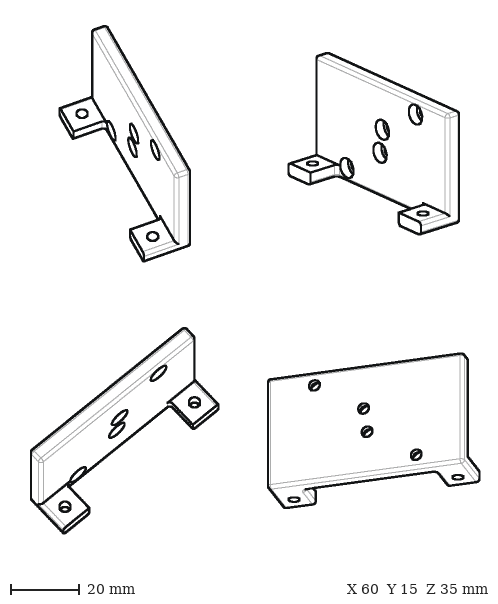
import cadquery as cq

width = 60.0
depth = 15.0
height = 35.0

plate_thickness = 5.0
foot_width = 10.0
foot_thickness = 4.0
edge_radius = 1.0

plate_front = -plate_thickness
foot_end = -depth
foot_inner_x = width / 2 - foot_width

hole_diameter = 3.25
counterbore_diameter = 6.0
counterbore_depth = 3.0
foot_hole_inset = 5.0
foot_hole_x = width / 2 - foot_hole_inset
foot_hole_y = foot_end + foot_hole_inset

outer_hole_offset = (15.55, 13.25)
inner_hole_offset = (0.55, 3.8)


def make_block(x_min, x_max, y_min, y_max, z_max):
    """Box standing on the base plane."""
    size = (x_max - x_min, y_max - y_min, z_max)
    return cq.Workplane("XY").box(*size, centered=False).translate((x_min, y_min, 0))


def make_body():
    """Upright plate with a forward-pointing foot at each end."""
    body = make_block(-width / 2, width / 2, plate_front, 0, height)
    body = body.union(make_block(-width / 2, -foot_inner_x, foot_end, 0, foot_thickness))
    return body.union(make_block(foot_inner_x, width / 2, foot_end, 0, foot_thickness))


def round_edges(body):
    """Blend the feet into the plate, then round the outer edges."""
    inner_corners = cq.selectors.BoxSelector(
        (-foot_inner_x - edge_radius, plate_front - edge_radius, 0),
        (foot_inner_x + edge_radius, plate_front + edge_radius, foot_thickness),
    )
    body = body.edges("|Z").edges(inner_corners).fillet(edge_radius)
    outer_edges = [
        edge
        for edge in body.faces("<X or >X or >Y or <Z or >Z").edges().vals()
        if edge.Center().y > foot_end + edge_radius
    ]
    return body.newObject(outer_edges).fillet(edge_radius)


def cut_plate_holes(body):
    """Through holes counterbored from the front face."""
    for offset_x, offset_z in (outer_hole_offset, inner_hole_offset):
        for side in (-1, 1):
            centre = (side * offset_x, plate_front, height / 2 + side * offset_z)
            front = cq.Workplane("XZ", origin=centre)
            body = body.cut(front.circle(hole_diameter / 2).extrude(-plate_thickness))
            body = body.cut(front.circle(counterbore_diameter / 2).extrude(-counterbore_depth))
    return body


def cut_foot_holes(body):
    """One plain vertical hole through each foot."""
    holes = (
        cq.Workplane("XY")
        .pushPoints([(-foot_hole_x, foot_hole_y), (foot_hole_x, foot_hole_y)])
        .circle(hole_diameter / 2)
        .extrude(foot_thickness)
    )
    return body.cut(holes)


result = cut_foot_holes(cut_plate_holes(round_edges(make_body())))